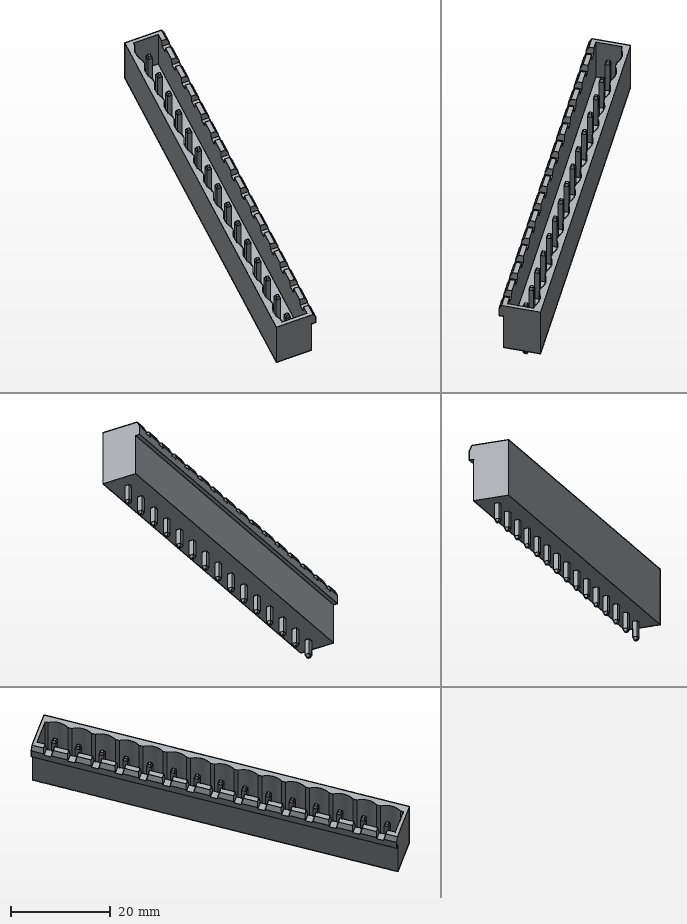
import cadquery as cq

length = 77.0
housing_height = 12.0
housing_depth = 7.7
total_depth = 8.6
pin_count = 15
pitch = 5.0

lip_height = 3.1
lip_bevel_depth = 0.58
lip_bevel_height = 1.15

end_wall = 0.8
back_wall = 0.7
front_wall = 1.6
floor_thickness = 2.0
scallop_depth = 0.6
scallop_width = 4.15

notch_depth = 1.55
notch_top_width = 2.0
notch_bottom_width = 1.5

pin_width = 1.0
pin_from_front = 3.85
pin_below = 4.0
pin_top_drop = 2.0
pin_point_length = 0.6
pin_point_width = 0.55

front_y = -total_depth / 2
back_y = front_y + housing_depth
lip_y = front_y + total_depth
cavity_front_y = front_y + front_wall
cavity_back_y = back_y - back_wall
pin_y = front_y + pin_from_front
pin_positions = [(i - (pin_count - 1) / 2) * pitch for i in range(pin_count)]


def make_housing():
    """Solid bar with the bevelled lip, extruded along X from its YZ outline."""
    outline = [
        (front_y, 0),
        (back_y, 0),
        (back_y, housing_height - lip_height),
        (lip_y, housing_height - lip_height),
        (lip_y, housing_height - lip_bevel_height),
        (lip_y - lip_bevel_depth, housing_height),
        (front_y, housing_height),
    ]
    return cq.Workplane("YZ").polyline(outline).close().extrude(length / 2, both=True)


def make_cavity():
    """Open-topped cavity whose front side bulges forward in an arc at every pin."""
    half_length = length / 2 - end_wall
    half_scallop = scallop_width / 2
    sketch = cq.Workplane("XY", origin=(0, 0, floor_thickness))
    sketch = sketch.moveTo(-half_length, cavity_back_y).lineTo(-half_length, cavity_front_y)
    for x in pin_positions:
        sketch = sketch.lineTo(x - half_scallop, cavity_front_y)
        sketch = sketch.threePointArc(
            (x, cavity_front_y - scallop_depth),
            (x + half_scallop, cavity_front_y),
        )
    sketch = sketch.lineTo(half_length, cavity_front_y).lineTo(half_length, cavity_back_y)
    return sketch.close().extrude(housing_height - floor_thickness)


def make_notch(x):
    """Tapered notch running through the back wall and lip, wider at the top."""
    outline = [
        (x - notch_top_width / 2, housing_height),
        (x - notch_bottom_width / 2, housing_height - notch_depth),
        (x + notch_bottom_width / 2, housing_height - notch_depth),
        (x + notch_top_width / 2, housing_height),
    ]
    notch = cq.Workplane("XZ", origin=(0, lip_y, 0)).polyline(outline).close()
    return notch.extrude(lip_y - cavity_back_y)


def make_point(x, shoulder_z, direction):
    """Pyramid-shaped pin end growing up (+1) or down (-1) from the pin shoulder."""
    base = cq.Workplane("XY", origin=(x, pin_y, shoulder_z)).rect(pin_width, pin_width)
    tip = base.workplane(offset=direction * pin_point_length).rect(pin_point_width, pin_point_width)
    return tip.loft(ruled=True)


def make_pin(x):
    """Square pin through the floor, pointed at both ends."""
    lower_shoulder = pin_point_length - pin_below
    upper_shoulder = housing_height - pin_top_drop - pin_point_length
    shank = cq.Workplane("XY", origin=(x, pin_y, lower_shoulder)).rect(pin_width, pin_width)
    shank = shank.extrude(upper_shoulder - lower_shoulder)
    return shank.union(make_point(x, lower_shoulder, -1)).union(make_point(x, upper_shoulder, 1))


result = make_housing().cut(make_cavity())
for pin_x in pin_positions:
    result = result.cut(make_notch(pin_x))
    result = result.union(make_pin(pin_x))